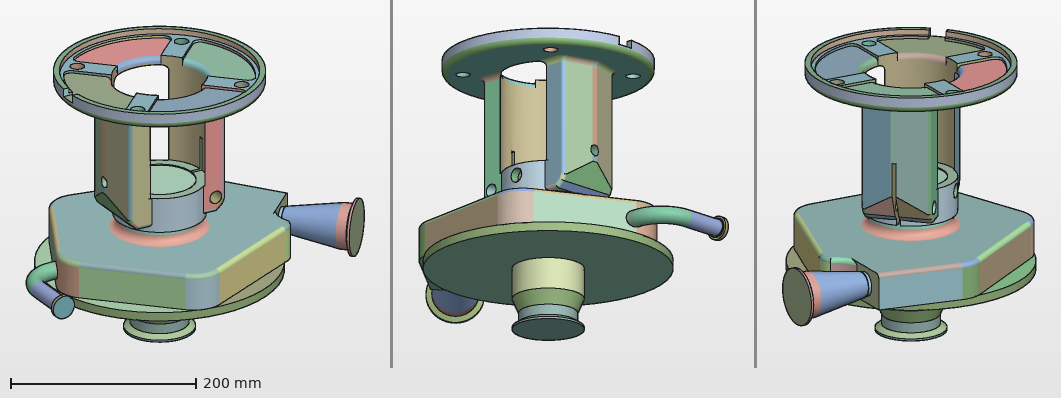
import cadquery as cq
import math

base_radius = 135.0
base_thickness = 10.0
casing_top = 50.5
casing_fillet = 5.0
neck_bottom = 60.5
collar_bottom = 66.5
collar_top = 106.5
mount_top = 236.0

casing_tip = (-9.5, 165.2)
casing_upper_left = (-99.0, 100.3)
casing_lower_left = (-127.5, -66.0)
casing_bottom = (23.0, -140.5)
casing_right = (142.0, -22.0)
casing_shoulder_side = (70.5, 116.7)
casing_shoulder_mid = (64.0, 126.0)
casing_shoulder_end = (54.3, 130.5)
casing_hollow_mid = (39.5, 128.0)
outlet_face_end = (24.3, 131.5)
casing_corner_radius = 33.5

collar_radius = 50.5
neck_radius = 45.2
neck_flare_radius = 54.0
collar_recess_radius = 39.5
collar_recess_depth = 1.2
collar_hole_radius = 8.0
collar_hole_height = 94.0

suction_radius = 39.0
suction_pipe_radius = 32.0
suction_cone_top = -34.5
suction_cone_bottom = -50.5
suction_ferrule_top = -62.0
suction_lip_top = -66.5
suction_bottom = -69.0

nozzle_start = (11.0, 144.5)
nozzle_height = 31.0
nozzle_angle = 45
nozzle_neck_radius = 13.5
nozzle_small_radius = 14.5
nozzle_large_radius = 25.5
nozzle_lip_radius = 31.5
nozzle_neck_length = 4.0
nozzle_cone_end = 68.5
nozzle_tube_end = 79.7
nozzle_lip_start = 82.0
nozzle_end = 85.0

drain_height = 28.5
drain_radius = 9.5
drain_bend_radius = 35.5
drain_bend_start = -135.2
drain_inner_end = -102.8
drain_ferrule_start = 84.3
drain_end = 88.8
drain_ferrule_radius = 13.0
drain_weld_radius = 10.5
drain_weld_length = 1.2

mount_radius = 114.5
mount_thickness = 17.3
mount_bottom = mount_top - mount_thickness
mount_edge_fillet = 6.0
mount_bore_radius = 51.8
rim_radius = 108.0
rim_depth = 6.0
pocket_radius = 103.5
pocket_depth = 9.0
pocket_corner_radius = 8.2
bore_rounding = 6.0
strip_width = 24.3
strip_angles = (45, 135)
bolt_hole_radius = 8.0
bolt_hole_offset = 65.0
rim_slot_width = 19.0
rim_slot_overrun = 2.0

leg_half_width = 39.0
leg_ridge_half_width = 3.3
leg_ridge_y = 69.5
leg_side_y = 59.0
leg_bottom = 72.5
leg_slope_top = 105.5
leg_toe_y = 57.0
leg_toe_height = 79.0
leg_sole_y = 49.5
leg_fillet = 4.0
leg_root_fillet = 5.8
sight_hole_radius = 5.95
sight_hole_height = 118.8
clamp_slit_width = 4.0
clamp_slit_top = 144.0
clamp_hole_radius = 7.2
clamp_hole_y = 47.5
clamp_hole_height = 89.5

root_zone_margin = 4.0
root_zone_half_height = 0.5


def cylinder(radius, bottom, top):
    return cq.Workplane("XY").workplane(offset=bottom).circle(radius).extrude(top - bottom)


def make_casing():
    outline = (
        cq.Workplane("XY")
        .workplane(offset=base_thickness)
        .moveTo(*casing_tip)
        .lineTo(*casing_upper_left)
        .lineTo(*casing_lower_left)
        .lineTo(*casing_bottom)
        .lineTo(*casing_right)
        .lineTo(*casing_shoulder_side)
        .threePointArc(casing_shoulder_mid, casing_shoulder_end)
        .threePointArc(casing_hollow_mid, outlet_face_end)
        .close()
    )
    body = outline.extrude(casing_top - base_thickness)

    def upright_edge(corner):
        nearest = cq.selectors.NearestToPointSelector((*corner, (base_thickness + casing_top) / 2))
        return body.edges("|Z").edges(nearest).val()

    rounded_corners = (casing_upper_left, casing_lower_left, casing_bottom, casing_right)
    body = body.newObject([upright_edge(corner) for corner in rounded_corners]).fillet(casing_corner_radius)

    outlet_edge = cq.selectors.NearestToPointSelector((*nozzle_start, casing_top))
    rounded_edges = body.faces(">Z").edges(cq.selectors.InverseSelector(outlet_edge))
    return rounded_edges.fillet(casing_fillet)


def make_hub():
    """Suction pipe, neck and collar, turned about the Z axis."""
    flare = neck_flare_radius - neck_radius
    flare_height = neck_bottom - casing_top
    flare_mid = (
        neck_flare_radius - flare * math.sin(math.pi / 4),
        neck_bottom - flare_height * math.sin(math.pi / 4),
    )
    profile = (
        cq.Workplane("XZ")
        .moveTo(0, suction_bottom)
        .lineTo(suction_radius, suction_bottom)
        .lineTo(suction_radius, suction_lip_top)
        .lineTo(suction_pipe_radius, suction_ferrule_top)
        .lineTo(suction_pipe_radius, suction_cone_bottom)
        .lineTo(suction_radius, suction_cone_top)
        .lineTo(suction_radius, casing_top - casing_fillet)
        .lineTo(neck_flare_radius, casing_top - casing_fillet)
        .lineTo(neck_flare_radius, casing_top)
        .threePointArc(flare_mid, (neck_radius, neck_bottom))
        .lineTo(neck_radius, collar_bottom)
        .lineTo(collar_radius, collar_bottom)
        .lineTo(collar_radius, collar_top)
        .lineTo(0, collar_top)
        .close()
    )
    return profile.revolve(360, (0, 0, 0), (0, 1, 0))


def make_nozzle():
    """Conical discharge nozzle, turned about X and then swung onto the outlet axis."""
    profile = (
        cq.Workplane("XY")
        .moveTo(-nozzle_neck_length, 0)
        .lineTo(-nozzle_neck_length, nozzle_neck_radius)
        .lineTo(nozzle_neck_length, nozzle_neck_radius)
        .lineTo(nozzle_neck_length, nozzle_small_radius)
        .lineTo(nozzle_cone_end, nozzle_large_radius)
        .lineTo(nozzle_tube_end, nozzle_large_radius)
        .lineTo(nozzle_lip_start, nozzle_lip_radius)
        .lineTo(nozzle_end, nozzle_lip_radius)
        .lineTo(nozzle_end, 0)
        .close()
    )
    nozzle = profile.revolve(360, (0, 0, 0), (1, 0, 0))
    return nozzle.rotate((0, 0, 0), (0, 0, 1), nozzle_angle).translate((*nozzle_start, nozzle_height))


def make_drain():
    """Drain pipe that leaves along -Y, bends to +X and ends in a ferrule."""
    bend_bottom = drain_bend_start - drain_bend_radius
    bend_mid = (
        drain_bend_radius * (1 - math.cos(math.pi / 4)),
        drain_bend_start - drain_bend_radius * math.sin(math.pi / 4),
    )
    path = (
        cq.Workplane("XY")
        .workplane(offset=drain_height)
        .moveTo(0, drain_inner_end)
        .lineTo(0, drain_bend_start)
        .threePointArc(bend_mid, (drain_bend_radius, bend_bottom))
        .lineTo(drain_end, bend_bottom)
    )
    start = cq.Plane((0, drain_inner_end, drain_height), (1, 0, 0), (0, -1, 0))
    pipe = cq.Workplane(start).circle(drain_radius).sweep(path)
    end = cq.Plane((drain_ferrule_start, bend_bottom, drain_height), (0, 1, 0), (1, 0, 0))
    ferrule = cq.Workplane(end).circle(drain_ferrule_radius).extrude(drain_end - drain_ferrule_start)
    weld = cq.Workplane(end).circle(drain_weld_radius).extrude(-drain_weld_length)
    return pipe.union(ferrule).union(weld)


def make_leg_column():
    """Both legs as one V-faced column, before the bore separates them."""
    right_half = [
        (leg_half_width, leg_side_y),
        (leg_ridge_half_width, leg_ridge_y),
    ]
    back = right_half + [(-x, y) for x, y in reversed(right_half)]
    outline = back + [(-x, -y) for x, y in back]
    column = (
        cq.Workplane("XY")
        .workplane(offset=leg_bottom)
        .polyline(outline)
        .close()
        .extrude(mount_top - mount_thickness / 2 - leg_bottom)
    )
    wedge = [
        (leg_sole_y, leg_bottom),
        (leg_toe_y, leg_toe_height),
        (leg_ridge_y, leg_slope_top),
        (leg_ridge_y + leg_fillet, leg_slope_top),
        (leg_ridge_y + leg_fillet, leg_bottom),
    ]
    for side in (1, -1):
        cut = cq.Workplane("YZ").polyline([(side * y, z) for y, z in wedge]).close()
        column = column.cut(cut.extrude(leg_half_width, both=True))
    return column.faces("<X or >X").edges().fillet(leg_fillet)


def make_pockets():
    """Cutter for the four pockets left between the diagonal strips of the flange face."""
    floor = mount_top - pocket_depth
    arc_mid = bore_rounding * (1 - math.sin(math.pi / 4))
    cutter = (
        cq.Workplane("XZ")
        .moveTo(mount_bore_radius, floor - bore_rounding)
        .threePointArc(
            (mount_bore_radius + arc_mid, floor - arc_mid),
            (mount_bore_radius + bore_rounding, floor),
        )
        .lineTo(pocket_radius, floor)
        .lineTo(pocket_radius, mount_top)
        .lineTo(mount_bore_radius, mount_top)
        .close()
        .revolve(360, (0, 0, 0), (0, 1, 0))
    )
    for angle in strip_angles:
        strip = (
            cq.Workplane("XY")
            .workplane(offset=mount_bottom)
            .rect(2 * mount_radius, strip_width)
            .extrude(mount_thickness)
            .rotate((0, 0, 0), (0, 0, 1), angle)
        )
        cutter = cutter.cut(strip)
    inner_half = mount_bore_radius + 2 * bore_rounding
    inner_zone = cq.selectors.BoxSelector(
        (-inner_half, -inner_half, floor), (inner_half, inner_half, mount_top)
    )
    outer_corners = cutter.edges("|Z").edges(cq.selectors.InverseSelector(inner_zone))
    return outer_corners.fillet(pocket_corner_radius)


def make_bracket():
    """Mounting flange with its two legs."""
    bracket = cylinder(mount_radius, mount_bottom, mount_top).faces("<Z").edges().fillet(mount_edge_fillet)
    bracket = bracket.union(make_leg_column())

    zone_x = leg_half_width + root_zone_margin
    zone_y = leg_ridge_y + root_zone_margin
    root_zone = cq.selectors.BoxSelector(
        (-zone_x, -zone_y, mount_bottom - root_zone_half_height),
        (zone_x, zone_y, mount_bottom + root_zone_half_height),
        boundingbox=True,
    )
    bracket = bracket.edges(root_zone).fillet(leg_root_fillet)

    bracket = bracket.cut(cylinder(mount_bore_radius, collar_top, mount_top))
    bracket = bracket.cut(cylinder(rim_radius, mount_top - rim_depth, mount_top))
    bracket = bracket.cut(make_pockets())
    bolt_holes = (
        cq.Workplane("XY")
        .workplane(offset=mount_bottom)
        .rect(2 * bolt_hole_offset, 2 * bolt_hole_offset, forConstruction=True)
        .vertices()
        .circle(bolt_hole_radius)
        .extrude(mount_thickness)
    )
    slot_length = mount_radius - pocket_radius + rim_slot_overrun
    rim_slot = (
        cq.Workplane("XY")
        .box(rim_slot_width, slot_length, pocket_depth, centered=(True, False, False))
        .translate((0, -mount_radius, mount_top - pocket_depth))
    )
    return bracket.cut(bolt_holes).cut(rim_slot)


def make_sight_hole():
    """Round hole through the front leg."""
    return cq.Workplane("XZ").center(0, sight_hole_height).circle(sight_hole_radius).extrude(leg_ridge_y)


def make_clamp_slit():
    """Slit that splits the collar wall and the lower part of the back leg."""
    return (
        cq.Workplane("XY")
        .workplane(offset=collar_bottom)
        .center(0, (collar_recess_radius + leg_ridge_y) / 2)
        .rect(clamp_slit_width, leg_ridge_y - collar_recess_radius)
        .extrude(clamp_slit_top - collar_bottom)
    )


def make_clamp_hole():
    """Cross hole for the clamp bolt, right through the back leg."""
    hole = cq.Workplane("YZ").center(clamp_hole_y, clamp_hole_height).circle(clamp_hole_radius)
    return hole.extrude(collar_radius, both=True)


def make_collar_hole():
    """Blind hole in the -X side of the collar."""
    hole = cq.Workplane("YZ").workplane(offset=-collar_radius).center(0, collar_hole_height)
    return hole.circle(collar_hole_radius).extrude(collar_radius - collar_recess_radius)


result = make_casing().union(cylinder(base_radius, 0, base_thickness))
result = result.union(make_hub()).union(make_nozzle()).union(make_drain()).union(make_bracket())
result = result.cut(cylinder(collar_recess_radius, collar_top - collar_recess_depth, collar_top))
result = result.cut(make_sight_hole()).cut(make_clamp_slit())
result = result.cut(make_clamp_hole()).cut(make_collar_hole())